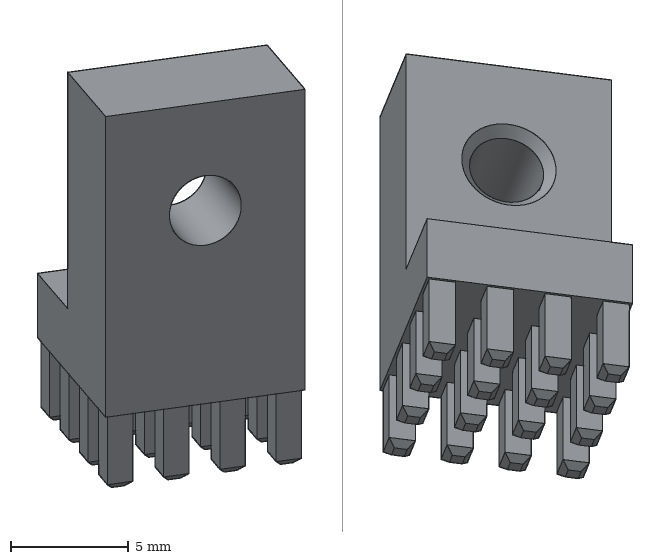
import cadquery as cq

total_height = 17.5
body_width = 9.0
body_height = 14.0
base_height = 3.0
upright_thickness = 5.0

hole_diameter = 3.24
countersink_diameter = 4.13
countersink_angle = 90
hole_drop = 5.0

pin_side = 1.15
pin_length = total_height - body_height
pin_pitch = 2.54
pins_per_side = 4
pin_tip_bevel = 0.3

half_width = body_width / 2
upright_face_x = half_width - upright_thickness


def make_body():
    """L-shaped block standing on z = 0, centred on the Z axis."""
    base = cq.Workplane("XY").box(body_width, body_width, base_height, centered=(True, True, False))
    upright = (
        cq.Workplane("XY")
        .box(upright_thickness, body_width, body_height, centered=(False, True, False))
        .translate((upright_face_x, 0, 0))
    )
    return base.union(upright)


def cut_screw_hole(body):
    """Countersunk through hole along +X, entered from the face above the base."""
    hole_axis_z = body_height - hole_drop
    entry_plane = cq.Plane(origin=(upright_face_x, 0, hole_axis_z), xDir=(0, 1, 0), normal=(-1, 0, 0))
    return cq.Workplane(entry_plane).add(body).pushPoints([(0, 0)]).cskHole(
        hole_diameter, countersink_diameter, countersink_angle, depth=upright_thickness
    )


def make_pins():
    """Square grid of pins hanging from z = 0."""
    pin = (
        cq.Workplane("XY")
        .rect(pin_side, pin_side)
        .extrude(-pin_length)
        .faces("<Z")
        .chamfer(pin_tip_bevel)
    )
    grid = cq.Workplane("XY").rarray(pin_pitch, pin_pitch, pins_per_side, pins_per_side)
    return grid.eachpoint(lambda place: pin.val().moved(place))


result = cut_screw_hole(make_body()).union(make_pins())